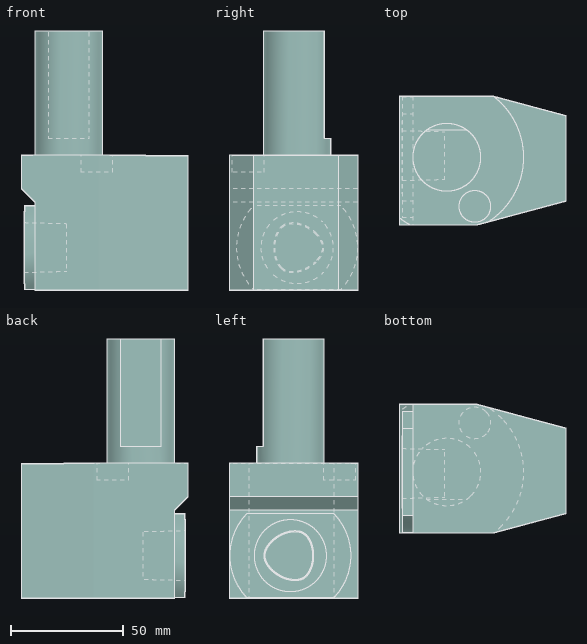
import cadquery as cq
import math


shank_diameter = 30.0
shank_length = 55.0
shank_flat_y = 12.1
shank_flat_start = 7.4

head_left = -21.0
head_right = 52.9
head_back = 27.0
head_front = -30.0
total_height = 115.0
head_height = total_height - shank_length
taper_angle = 15
back_taper_start = 20.7
front_taper_start = 13.3
seat_radius = 34.0
seat_step = 0.3

lip_height = 15.0
relief_depth = 6.0

coolant_diameter = 14.0
coolant_x = 12.4
coolant_y = -21.7
coolant_depth = 7.5

socket_z = 19.0 - head_height
flange_radius = 26.8
flange_thickness = 4.5
flange_half_height = 18.6
ring_diameter = 32.0
ring_step = 0.3

socket_mean_radius = 11.0
socket_lobe = 0.7
socket_depth = 19.0
socket_slope = 1 / 40

relief_x = head_left + relief_depth
flange_face_x = relief_x - flange_thickness
ring_face_x = flange_face_x - ring_step


def left_facing_plane(x):
    """Plane at x on the socket axis: local x is -Y, local y is Z."""
    return cq.Plane(origin=(x, 0, socket_z), xDir=(0, -1, 0), normal=(-1, 0, 0))


def make_head():
    slope = math.tan(math.radians(taper_angle))
    outline = [
        (head_left, head_front),
        (front_taper_start, head_front),
        (head_right, head_front + slope * (head_right - front_taper_start)),
        (head_right, head_back - slope * (head_right - back_taper_start)),
        (back_taper_start, head_back),
        (head_left, head_back),
    ]
    head = cq.Workplane("XY").polyline(outline).close().extrude(-head_height)

    outside_seat = (
        cq.Workplane("XY")
        .rect(4 * head_right, 4 * head_right)
        .circle(seat_radius)
        .extrude(-seat_step)
    )
    relief = (
        cq.Workplane("XZ", origin=(0, head_back, 0))
        .moveTo(head_left, -lip_height)
        .lineTo(relief_x, -lip_height - relief_depth)
        .lineTo(relief_x, -head_height)
        .lineTo(head_left, -head_height)
        .close()
        .extrude(head_back - head_front)
    )
    return head.cut(outside_seat).cut(relief)


def make_shank():
    shank = cq.Workplane("XY").circle(shank_diameter / 2).extrude(shank_length)
    flat = (
        cq.Workplane("XY", origin=(0, shank_flat_y, shank_flat_start))
        .rect(shank_diameter, shank_diameter)
        .extrude(shank_length)
        .translate((0, shank_diameter / 2, 0))
    )
    return shank.cut(flat)


def make_flange():
    disc = cq.Workplane(left_facing_plane(relief_x)).circle(flange_radius).extrude(flange_thickness)
    band = (
        cq.Workplane(left_facing_plane(relief_x))
        .rect(2 * flange_radius, 2 * flange_half_height)
        .extrude(flange_thickness)
    )
    ring = cq.Workplane(left_facing_plane(flange_face_x)).circle(ring_diameter / 2).extrude(ring_step)
    return disc.intersect(band).union(ring)


def socket_outline(x):
    """Constant-width outline with one lobe towards +Y, as wide as the taper is at x."""
    radius = socket_mean_radius - socket_slope * (x - ring_face_x)

    def point(t):
        reach = radius + socket_lobe * math.cos(3 * t)
        lean = -3 * socket_lobe * math.sin(3 * t)
        y = reach * math.cos(t) - lean * math.sin(t)
        z = reach * math.sin(t) + lean * math.cos(t)
        return (-y, z)

    steps = 36
    points = [point(2 * math.pi * i / steps) for i in range(steps)]
    plane = left_facing_plane(x)
    return cq.Workplane(plane).spline(points, periodic=True).close().val()


def make_socket():
    ends = [socket_outline(ring_face_x), socket_outline(ring_face_x + socket_depth)]
    return cq.Workplane(cq.Solid.makeLoft(ends, True))


coolant_hole = (
    cq.Workplane("XY")
    .center(coolant_x, coolant_y)
    .circle(coolant_diameter / 2)
    .extrude(-coolant_depth)
)

result = (
    make_head()
    .union(make_shank())
    .union(make_flange())
    .cut(make_socket())
    .cut(coolant_hole)
)